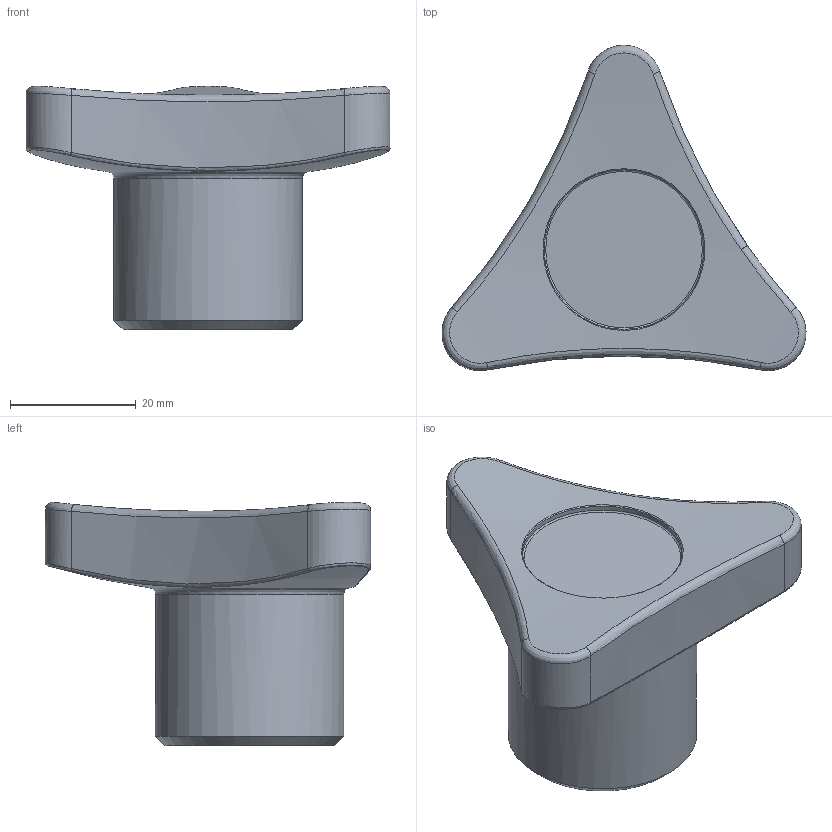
import cadquery as cq
import math

LOBE_COUNT = 3
LOBE_PITCH = 360.0 / LOBE_COUNT
FIRST_LOBE_ANGLE = 90.0
LOBE_CENTRE_RADIUS = 26.5
LOBE_RADIUS = 6.0
WAIST_RADIUS = 16.9

TOTAL_HEIGHT = 38.7
DISH_Z = 36.83
BELLY_Z = 24.0

DISH_RADIUS = 264.0
BELLY_RADIUS = 115.0

TOP_FILLET = 1.1
BOTTOM_FILLET = 0.5

HUB_RADIUS = 30.0 / 2
HUB_CHAMFER = 1.5
HUB_FILLET = 1.0

RECESS_RADIUS = 25.4 / 2
RECESS_FLOOR_Z = 36.0
RECESS_FLOOR_FILLET = 0.25
RECESS_RIM_CHAMFER = 0.15

OVERLAP = 1.0


def polar(radius, angle):
    """Point at a distance from the knob axis, with the angle in degrees."""
    return (radius * math.cos(math.radians(angle)), radius * math.sin(math.radians(angle)))


def bowl_height(base_z, sphere_radius, distance):
    """Height of an upward-opening spherical face at a distance from the knob axis."""
    return base_z + sphere_radius - math.sqrt(sphere_radius**2 - distance**2)


def head_prism():
    """Upright prism with round lobes joined by tangent concave arcs."""
    half_pitch = LOBE_PITCH / 2
    along = LOBE_CENTRE_RADIUS * math.cos(math.radians(half_pitch))
    across = LOBE_CENTRE_RADIUS * math.sin(math.radians(half_pitch))
    offset = WAIST_RADIUS - along
    side_radius = (across**2 + offset**2 - LOBE_RADIUS**2) / (2 * (LOBE_RADIUS - offset))
    touch_share = LOBE_RADIUS / (side_radius + LOBE_RADIUS)

    def touch_point(lobe_angle, side_angle):
        lobe_x, lobe_y = polar(LOBE_CENTRE_RADIUS, lobe_angle)
        side_x, side_y = polar(WAIST_RADIUS + side_radius, side_angle)
        return (
            lobe_x + touch_share * (side_x - lobe_x),
            lobe_y + touch_share * (side_y - lobe_y),
        )

    start = touch_point(FIRST_LOBE_ANGLE, FIRST_LOBE_ANGLE - half_pitch)
    outline = cq.Workplane("XY").moveTo(*start)
    for index in range(LOBE_COUNT):
        lobe_angle = FIRST_LOBE_ANGLE + index * LOBE_PITCH
        side_angle = lobe_angle + half_pitch
        lobe_tip = polar(LOBE_CENTRE_RADIUS + LOBE_RADIUS, lobe_angle)
        waist = polar(WAIST_RADIUS, side_angle)
        outline = outline.threePointArc(lobe_tip, touch_point(lobe_angle, side_angle))
        outline = outline.threePointArc(waist, touch_point(lobe_angle + LOBE_PITCH, side_angle))
    return outline.close().extrude(TOTAL_HEIGHT + OVERLAP)


def bowl():
    """Revolved solid between the domed underside and the dished top."""
    rim = LOBE_CENTRE_RADIUS + LOBE_RADIUS + OVERLAP
    middle = rim / 2
    belly_middle = (middle, bowl_height(BELLY_Z, BELLY_RADIUS, middle))
    belly_rim = (rim, bowl_height(BELLY_Z, BELLY_RADIUS, rim))
    dish_middle = (middle, bowl_height(DISH_Z, DISH_RADIUS, middle))
    dish_rim = (rim, bowl_height(DISH_Z, DISH_RADIUS, rim))
    return (
        cq.Workplane("XZ")
        .moveTo(0, BELLY_Z)
        .threePointArc(belly_middle, belly_rim)
        .lineTo(*dish_rim)
        .threePointArc(dish_middle, (0, DISH_Z))
        .close()
        .revolve(360, (0, 0, 0), (0, 1, 0))
    )


def head():
    """Three-lobe head with rounded top and bottom edges."""
    body = head_prism().intersect(bowl())
    body = body.faces(">Z").edges().fillet(TOP_FILLET)
    return body.faces("<Z").edges().fillet(BOTTOM_FILLET)


def hub():
    """Cylindrical hub, chamfered at its free end and reaching into the head."""
    hub_top = (BELLY_Z + DISH_Z) / 2
    return cq.Workplane("XY").circle(HUB_RADIUS).extrude(hub_top).faces("<Z").chamfer(HUB_CHAMFER)


def blend_hub(body):
    """Fillet the circle where the hub meets the underside."""
    joint_z = bowl_height(BELLY_Z, BELLY_RADIUS, HUB_RADIUS)
    reach = HUB_RADIUS + OVERLAP
    joint = cq.selectors.BoxSelector(
        (-reach, -reach, joint_z - OVERLAP),
        (reach, reach, joint_z + OVERLAP),
        boundingbox=True,
    )
    return body.edges(joint).fillet(HUB_FILLET)


def recess():
    """Shallow round pocket with a rounded floor corner and a bevelled rim."""
    pocket = (
        cq.Workplane("XY", origin=(0, 0, RECESS_FLOOR_Z))
        .circle(RECESS_RADIUS)
        .extrude(TOTAL_HEIGHT - RECESS_FLOOR_Z)
        .faces("<Z")
        .edges()
        .fillet(RECESS_FLOOR_FILLET)
    )
    rim_z = bowl_height(DISH_Z, DISH_RADIUS, RECESS_RADIUS)
    bevel_height = 2 * RECESS_RIM_CHAMFER
    bevel = cq.Solid.makeCone(
        RECESS_RADIUS,
        RECESS_RADIUS + bevel_height,
        bevel_height,
        cq.Vector(0, 0, rim_z - RECESS_RIM_CHAMFER),
    )
    return pocket.union(cq.Workplane(bevel))


result = blend_hub(head().union(hub())).cut(recess())